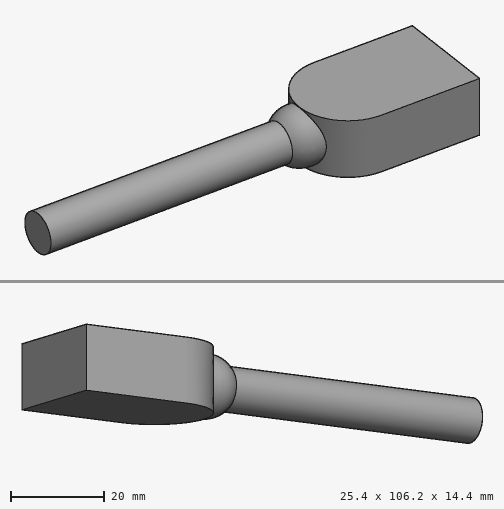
import cadquery as cq
import math

total_length = 106.2
head_length = 38.2
head_width = 25.4
head_thickness = 14.4
collar_diameter = 14.2
cable_diameter = 9.9

nose_radius = head_width / 2
collar_radius = collar_diameter / 2
cable_radius = cable_diameter / 2

nose_center_y = nose_radius
cable_end_y = head_length - total_length
dome_length = math.sqrt(collar_radius**2 - cable_radius**2)


def make_head():
    """Flat block with a square back and a half-round nose."""
    return (
        cq.Workplane("XY", origin=(0, 0, -head_thickness / 2))
        .moveTo(-nose_radius, head_length)
        .lineTo(-nose_radius, nose_center_y)
        .threePointArc((0, 0), (nose_radius, nose_center_y))
        .lineTo(nose_radius, head_length)
        .close()
        .extrude(head_thickness)
    )


def make_cable_with_collar():
    """Revolved cable with a domed collar whose straight part is sunk into the nose."""
    rim_angle = math.asin(cable_radius / collar_radius)
    middle_angle = (rim_angle + math.pi / 2) / 2
    dome_middle = (collar_radius * math.sin(middle_angle), -collar_radius * math.cos(middle_angle))
    return (
        cq.Workplane("XY")
        .moveTo(0, nose_center_y)
        .lineTo(collar_radius, nose_center_y)
        .lineTo(collar_radius, 0)
        .threePointArc(dome_middle, (cable_radius, -dome_length))
        .lineTo(cable_radius, cable_end_y)
        .lineTo(0, cable_end_y)
        .close()
        .revolve(360, (0, 0, 0), (0, 1, 0))
    )


result = make_head().union(make_cable_with_collar())